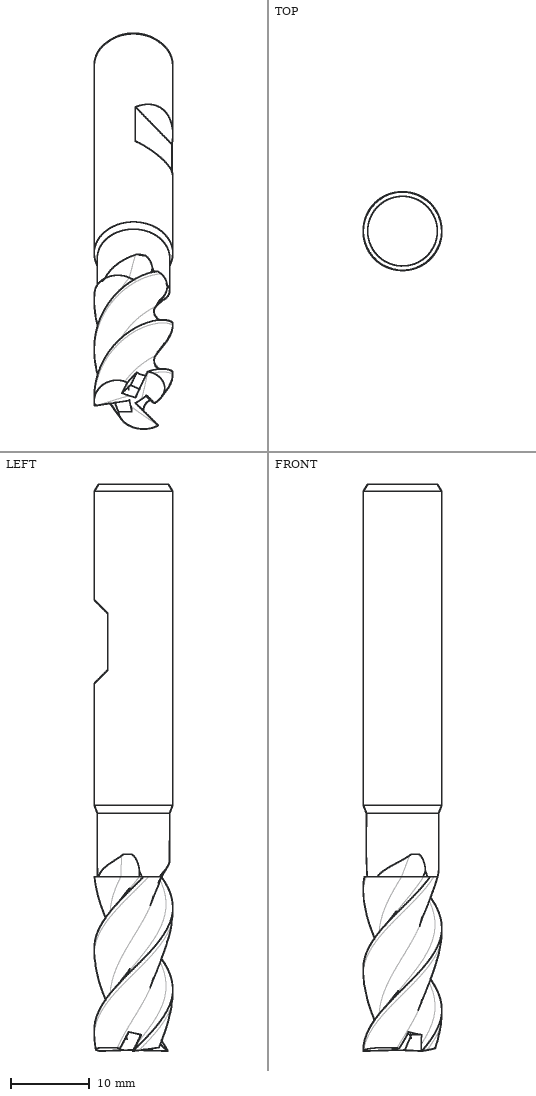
import cadquery as cq
import math

length = 72.0
shank_radius = 5.005
top_chamfer_height = 0.9
top_chamfer_width = 0.6
shoulder_top = 31.25
shoulder_height = 1.0
neck_radius = 4.6

flat_depth = 1.7
flat_center_z = 52.0
flat_length = 7.2

flute_count = 3
cutter_length = 22.2
lead = 31.2
start_angle = 59.0
land_angle = 7.0
back_mid_radius, back_mid_angle = 4.5, 36.0
heel_radius, heel_angle = 3.0, 72.0
root_radius, root_angle = 2.7, 97.0
rake_radius, rake_angle = 4.1, 115.0
pitch_angle = 360 / flute_count

runout_height = 2.8
runout_angle = 108.0

tip_relief_angle = 8.0
dish_depth = 0.15
gash_height = 2.1
gash_width = 1.9
gash_lean = 1.0
gash_shoulder_height, gash_shoulder_setback = 2.45, 0.6
gash_inner_radius = 0.5


def polar(radius, degrees):
    angle = math.radians(degrees)
    return (radius * math.cos(angle), radius * math.sin(angle))


def add_flute(sketch, edge):
    """Trace one flute, from the margin behind an edge to the next edge."""
    return (
        sketch
        .threePointArc(polar(back_mid_radius, edge + back_mid_angle), polar(heel_radius, edge + heel_angle))
        .threePointArc(polar(root_radius, edge + root_angle), polar(rake_radius, edge + rake_angle))
        .lineTo(*polar(shank_radius, edge + pitch_angle))
    )


def make_fluted_bar():
    section = cq.Workplane("XY").moveTo(*polar(shank_radius, start_angle))
    for tooth in range(flute_count):
        edge = start_angle + tooth * pitch_angle
        section = section.threePointArc(
            polar(shank_radius, edge + land_angle / 2), polar(shank_radius, edge + land_angle)
        )
        section = add_flute(section, edge)
    return section.close().twistExtrude(cutter_length, 360 * cutter_length / lead)


def make_runout(edge):
    """Flute-shaped pocket that rises and slopes out to the neck surface."""
    land_end = edge + land_angle
    flute_middle = (land_end + edge + pitch_angle) / 2
    outline = cq.Workplane("XY").workplane(offset=cutter_length).moveTo(*polar(shank_radius, land_end))
    outline = (
        add_flute(outline, edge)
        .threePointArc(polar(shank_radius, flute_middle), polar(shank_radius, land_end))
        .close()
    )
    outward = polar(neck_radius - root_radius, edge + runout_angle)
    return cq.Solid.extrudeLinear(outline.val(), [], cq.Vector(*outward, runout_height))


def make_clamping_flat():
    floor_y = shank_radius - flat_depth
    half_floor = flat_length / 2
    half_mouth = half_floor + flat_depth
    return (
        cq.Workplane("YZ", origin=(0, 0, flat_center_z))
        .polyline([
            (floor_y, -half_floor),
            (shank_radius, -half_mouth),
            (shank_radius, half_mouth),
            (floor_y, half_floor),
        ])
        .close()
        .extrude(shank_radius, both=True)
    )


def make_shank():
    shoulder_bottom = shoulder_top - shoulder_height
    shank = (
        cq.Workplane("XZ")
        .polyline([
            (0, cutter_length),
            (neck_radius, cutter_length),
            (neck_radius, shoulder_bottom),
            (shank_radius, shoulder_top),
            (shank_radius, length - top_chamfer_height),
            (shank_radius - top_chamfer_width, length),
            (0, length),
        ])
        .close()
        .revolve(360, (0, 0, 0), (0, 1, 0))
    )
    top_phase = start_angle + 360 * cutter_length / lead
    for tooth in range(flute_count):
        shank = shank.cut(cq.Workplane(make_runout(top_phase + tooth * pitch_angle)))
    return shank.cut(make_clamping_flat())


def make_tip_wedge(edge_angle, inner_radius, outline):
    """Radial prism; the outline is (distance behind the edge, height)."""
    return (
        cq.Workplane("YZ", origin=(inner_radius, 0, 0))
        .polyline(outline)
        .close()
        .extrude(shank_radius)
        .rotate((0, 0, 0), (0, 0, 1), edge_angle)
    )


def make_cutter():
    cutter = make_fluted_bar()
    relief_rise = shank_radius * math.tan(math.radians(tip_relief_angle))
    relief_outline = [(0, 0), (shank_radius, 0), (shank_radius, relief_rise)]
    gash_outline = [
        (0, 0),
        (gash_lean, gash_height),
        (-gash_shoulder_setback, gash_shoulder_height),
        (-gash_width, 0),
    ]
    for tooth in range(flute_count):
        edge_angle = start_angle + tooth * pitch_angle
        cutter = cutter.cut(make_tip_wedge(edge_angle, 0, relief_outline))
        cutter = cutter.cut(make_tip_wedge(edge_angle, gash_inner_radius, gash_outline))
    dish = cq.Workplane(cq.Solid.makeCone(shank_radius, 0, dish_depth))
    return cutter.cut(dish)


shank = make_shank()
cutter = make_cutter()

result = cq.Compound.makeCompound([shank.solids().val(), cutter.solids().val()])